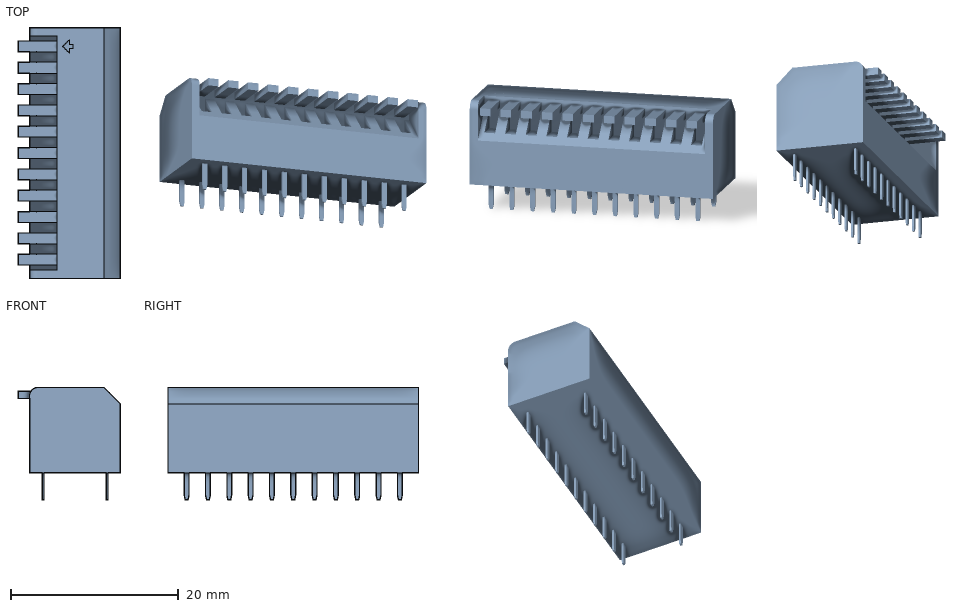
import cadquery as cq


LENGTH = 29.9
DEPTH = 10.82
HEIGHT = 10.2
FRONT_RADIUS = 1.0
BACK_CHAMFER = 1.97

SWITCH_COUNT = 11
PITCH = 2.55
SWITCH_POSITIONS = [(i - (SWITCH_COUNT - 1) / 2) * PITCH for i in range(SWITCH_COUNT)]

END_WALL = 1.0
RECESS_LENGTH = LENGTH - 2 * END_WALL
RECESS_DEPTH = 3.25
RECESS_FRONT_Z = HEIGHT - 4.75
RECESS_BACK_Z = HEIGHT - 1.6

LEVER_WIDTH = 1.32
LEVER_THICKNESS = 0.9
LEVER_OVERHANG = 1.37
LEVER_TOP_Z = HEIGHT - 0.45
LEVER_BOTTOM_Z = LEVER_TOP_Z - LEVER_THICKNESS
SLOT_FLOOR_Z = HEIGHT - 3.95

PIN_LENGTH = 3.2
PIN_WIDTH = 0.6
PIN_THICKNESS = 0.25
PIN_TIP_WIDTH = 0.35
PIN_TAPER_LENGTH = 0.55
PIN_ROW_SPACING = 3 * PITCH
PIN_ROWS = [(DEPTH - PIN_ROW_SPACING) / 2, (DEPTH + PIN_ROW_SPACING) / 2]

ARROW_TIP_X = 3.95
ARROW_HEAD = 0.78
ARROW_SHAFT_LENGTH = 0.42
ARROW_SHAFT_WIDTH = 0.48
ARROW_ENGRAVING = 0.01


def extrude_along_row(outline, length):
    """Extrude a closed XZ outline by length, centred on y = 0."""
    return outline.extrude(length / 2, both=True)


def make_housing():
    block = cq.Workplane("XY").box(DEPTH, LENGTH, HEIGHT, centered=(False, True, False))
    block = block.edges("<X and >Z").fillet(FRONT_RADIUS)
    return block.edges(">X and >Z").chamfer(BACK_CHAMFER)


def make_recess():
    outline = (
        cq.Workplane("XZ")
        .moveTo(0, RECESS_FRONT_Z)
        .lineTo(RECESS_DEPTH, RECESS_BACK_Z)
        .lineTo(RECESS_DEPTH, HEIGHT)
        .lineTo(0, HEIGHT)
        .close()
    )
    return extrude_along_row(outline, RECESS_LENGTH)


def make_slot(y):
    """Clearance below a lever: flat floor, back wall flush with the recess."""
    slot_height = LEVER_BOTTOM_Z - SLOT_FLOOR_Z
    slot = cq.Workplane("XY").box(RECESS_DEPTH, LEVER_WIDTH, slot_height, centered=(False, True, False))
    return slot.translate((0, y, SLOT_FLOOR_Z))


def make_lever(y):
    lever_length = LEVER_OVERHANG + RECESS_DEPTH
    lever = cq.Workplane("XY").box(lever_length, LEVER_WIDTH, LEVER_THICKNESS, centered=(False, True, False))
    return lever.translate((-LEVER_OVERHANG, y, LEVER_BOTTOM_Z))


def make_pin(x, y):
    """Flat pin hanging from the underside, narrowing to a blunt tip."""
    taper_z = PIN_TAPER_LENGTH - PIN_LENGTH
    outline = (
        cq.Workplane("YZ")
        .moveTo(-PIN_WIDTH / 2, 0)
        .lineTo(-PIN_WIDTH / 2, taper_z)
        .lineTo(-PIN_TIP_WIDTH / 2, -PIN_LENGTH)
        .lineTo(PIN_TIP_WIDTH / 2, -PIN_LENGTH)
        .lineTo(PIN_WIDTH / 2, taper_z)
        .lineTo(PIN_WIDTH / 2, 0)
        .close()
    )
    return outline.extrude(PIN_THICKNESS / 2, both=True).translate((x, y, 0))


def make_arrow(y):
    head_base_x = ARROW_TIP_X + ARROW_HEAD
    shaft_end_x = head_base_x + ARROW_SHAFT_LENGTH
    half_shaft = ARROW_SHAFT_WIDTH / 2
    arrow = (
        cq.Workplane("XY")
        .moveTo(ARROW_TIP_X, 0)
        .lineTo(head_base_x, ARROW_HEAD)
        .lineTo(head_base_x, half_shaft)
        .lineTo(shaft_end_x, half_shaft)
        .lineTo(shaft_end_x, -half_shaft)
        .lineTo(head_base_x, -half_shaft)
        .lineTo(head_base_x, -ARROW_HEAD)
        .close()
        .extrude(ARROW_ENGRAVING)
    )
    return arrow.translate((0, y, HEIGHT - ARROW_ENGRAVING))


result = make_housing().cut(make_recess()).cut(make_arrow(SWITCH_POSITIONS[-1]))
for switch_y in SWITCH_POSITIONS:
    result = result.cut(make_slot(switch_y)).union(make_lever(switch_y))
    for row_x in PIN_ROWS:
        result = result.union(make_pin(row_x, switch_y))